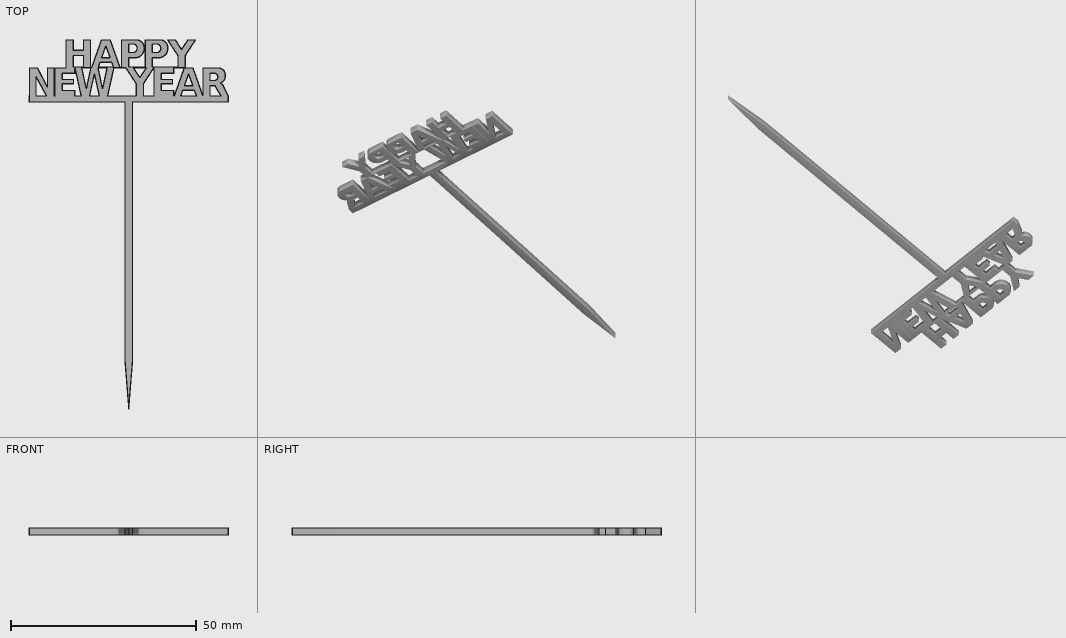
import cadquery as cq
import math

thickness = 2.0
total_length = 99.8
total_width = 53.8

stick_width = 2.1
taper_length = 13.1
base_bar_bottom = 82.9
bar_overhang = 0.05
strip_height = 0.3

cap_height = 7.6
stem = 2.0
letter_width = 6.7
r_width = 6.9

upper_baseline = total_length - cap_height
lower_baseline = upper_baseline - cap_height


def plate(points):
    """Straight-sided plate with the given outline."""
    return cq.Workplane("XY").polyline(points).close().extrude(thickness)


def block(left, bottom, right, top):
    """Rectangular plate between two opposite corners."""
    return plate([(left, bottom), (right, bottom), (right, top), (left, top)])


def mirrored(right_half):
    """Full outline from its right half, listed from bottom to top."""
    left_half = [(-x, y) for x, y in reversed(right_half) if x != 0]
    return right_half + left_half


def bowl(start_x, right, bottom, top, top_corner, bottom_corner):
    """Plate with a rounded right end made of two quarter ovals, as in P and R."""
    middle = (top + bottom) / 2
    half_height = (top - bottom) / 2
    bulge = math.sqrt(0.5)
    top_start = right - top_corner
    bottom_end = right - bottom_corner
    return (
        cq.Workplane("XY")
        .moveTo(start_x, bottom)
        .lineTo(start_x, top)
        .lineTo(top_start, top)
        .threePointArc(
            (top_start + top_corner * bulge, middle + half_height * bulge),
            (right, middle),
        )
        .threePointArc(
            (bottom_end + bottom_corner * bulge, middle - half_height * bulge),
            (bottom_end, bottom),
        )
        .close()
        .extrude(thickness)
    )


def letter_h():
    crossbar_bottom = 3.3
    crossbar_top = 4.8
    left_stem = block(0, 0, stem, cap_height)
    right_stem = block(letter_width - stem, 0, letter_width, cap_height)
    crossbar = block(0, crossbar_bottom, letter_width, crossbar_top)
    return left_stem.union(right_stem).union(crossbar)


def letter_n():
    thin_stem = 1.8
    right_inner = letter_width - thin_stem
    outline = [
        (0, 0), (thin_stem, 0), (thin_stem, 5.2), (4.6, 0), (letter_width, 0),
        (letter_width, cap_height), (right_inner, cap_height), (right_inner, 2.4),
        (2.2, cap_height), (0, cap_height),
    ]
    return plate(outline)


def letter_e():
    arm_length = 5.4
    arm_height = 1.5
    middle_arm_length = 5.1
    middle_arm_bottom = 3.3
    middle_arm_top = 4.5
    return (
        block(0, 0, stem, cap_height)
        .union(block(0, 0, arm_length, arm_height))
        .union(block(0, middle_arm_bottom, middle_arm_length, middle_arm_top))
        .union(block(0, cap_height - arm_height, arm_length, cap_height))
    )


def letter_a():
    half_foot = 3.9
    half_top = 1.2
    inner_half_foot = 2.1
    inner_apex = 5.9
    crossbar_bottom = 1.5
    crossbar_top = 2.8
    body = plate(mirrored([(half_foot, 0), (half_top, cap_height)]))
    opening = plate([(-inner_half_foot, 0), (inner_half_foot, 0), (0, inner_apex)])
    crossbar = block(-inner_half_foot, crossbar_bottom, inner_half_foot, crossbar_top)
    return body.cut(opening.cut(crossbar))


def letter_y():
    half_stem = stem / 2
    half_width = 3.8
    shoulder = 3.3
    notch_bottom = 5.0
    notch_half_width = 1.7
    right_half = [
        (half_stem, 0), (half_stem, shoulder), (half_width, cap_height),
        (notch_half_width, cap_height), (0, notch_bottom),
    ]
    return plate(mirrored(right_half))


def letter_w():
    right_half = [
        (0, 5.9), (1.3, 0), (3.6, 0), (5.3, cap_height),
        (3.4, cap_height), (2.2, 2.0), (1.0, cap_height),
    ]
    return plate(mirrored(right_half))


def letter_p():
    body = bowl(
        0, right=6.2, bottom=2.7, top=cap_height, top_corner=1.8, bottom_corner=2.6
    )
    counter = bowl(
        stem, right=4.2, bottom=4.2, top=6.4, top_corner=0.8, bottom_corner=0.8
    )
    return block(0, 0, stem, cap_height).union(body).cut(counter)


def letter_r():
    waist_bottom = 2.7
    waist_top = 3.7
    body = bowl(
        0, right=6.1, bottom=3.4, top=cap_height, top_corner=1.7, bottom_corner=1.7
    )
    leg = plate([
        (0, waist_bottom), (3.3, waist_bottom), (4.9, 0), (r_width, 0),
        (5.5, 2.9), (4.6, waist_top), (0, waist_top),
    ])
    counter = bowl(
        stem, right=4.0, bottom=4.2, top=6.1, top_corner=0.8, bottom_corner=0.8
    )
    return block(0, 0, stem, cap_height).union(body).union(leg).cut(counter)


def stick():
    half_width = stick_width / 2
    right_half = [(0, 0), (half_width, taper_length), (half_width, lower_baseline)]
    return plate(mirrored(right_half))


left_edge = -total_width / 2
right_edge = total_width / 2
h_left = -17.0
upper_y_centre = 14.3

upper_row = [
    (letter_h, h_left),
    (letter_a, -6.2),
    (letter_p, -2.0),
    (letter_p, 4.4),
    (letter_y, upper_y_centre),
]
lower_row = [
    (letter_n, left_edge + bar_overhang),
    (letter_e, -20.0),
    (letter_w, -9.3),
    (letter_y, 3.0),
    (letter_e, 6.8),
    (letter_a, 16.2),
    (letter_r, right_edge - r_width),
]

base_bar = block(left_edge, base_bar_bottom, right_edge, lower_baseline)
strip = block(
    h_left - bar_overhang,
    upper_baseline,
    upper_y_centre + stem / 2,
    upper_baseline + strip_height,
)

result = stick().union(base_bar).union(strip)
for row, baseline in ((upper_row, upper_baseline), (lower_row, lower_baseline)):
    for letter, x in row:
        result = result.union(letter().translate((x, baseline, 0)))